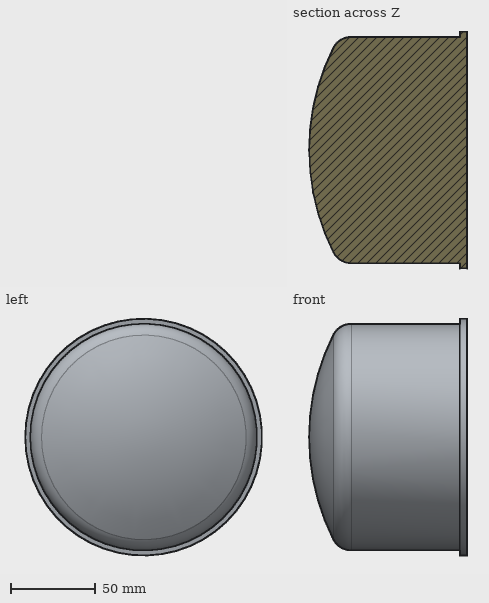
import cadquery as cq
import math

overall_length = 94.0
flange_diameter = 141.0
flange_thickness = 4.2
body_diameter = 135.0
crown_radius = 135.4
knuckle_radius = 12.0

flange_radius = flange_diameter / 2
body_radius = body_diameter / 2
flange_front = overall_length - flange_thickness

knuckle_center_r = body_radius - knuckle_radius
center_distance = crown_radius - knuckle_radius
knuckle_center_x = crown_radius - math.sqrt(center_distance**2 - knuckle_center_r**2)
crown_half_angle = math.asin(knuckle_center_r / center_distance)


def crown_point(angle):
    """Point (x, radius) on the crown at an angle from the axis."""
    return (
        crown_radius * (1 - math.cos(angle)),
        crown_radius * math.sin(angle),
    )


def knuckle_point(angle):
    """Point (x, radius) on the knuckle at an angle from the axis."""
    return (
        knuckle_center_x - knuckle_radius * math.cos(angle),
        knuckle_center_r + knuckle_radius * math.sin(angle),
    )


knuckle_middle_angle = (crown_half_angle + math.pi / 2) / 2

half_profile = (
    cq.Workplane("XY")
    .moveTo(0, 0)
    .threePointArc(crown_point(crown_half_angle / 2), crown_point(crown_half_angle))
    .threePointArc(knuckle_point(knuckle_middle_angle), (knuckle_center_x, body_radius))
    .lineTo(flange_front, body_radius)
    .lineTo(flange_front, flange_radius)
    .lineTo(overall_length, flange_radius)
    .lineTo(overall_length, 0)
    .close()
)

result = half_profile.revolve(360, (0, 0, 0), (1, 0, 0))